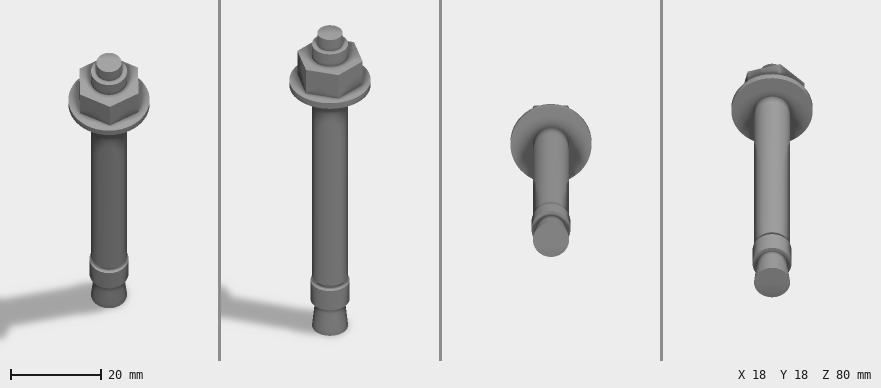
import cadquery as cq
import math

total_length = 80.0

cone_base_diameter = 8.0
cone_top_diameter = 6.6
cone_height = 7.2
sleeve_diameter = 8.6
sleeve_height = 5.3
neck_bottom_diameter = 6.4
neck_top_diameter = 5.8
neck_height = 1.2

shank_diameter = 8.0
tip_diameter = 5.6
tip_height = 3.0

washer_diameter = 18.0
washer_thickness = 1.5
nut_across_flats = 13.0
nut_height = 6.4
nut_top_to_shank_end = 3.4

sleeve_bottom = cone_height
sleeve_top = sleeve_bottom + sleeve_height
shank_bottom = sleeve_top + neck_height
shank_top = total_length - tip_height
nut_bottom = shank_top - nut_top_to_shank_end - nut_height
washer_bottom = nut_bottom - washer_thickness


def cylinder(diameter, bottom, top):
    return cq.Workplane("XY").workplane(offset=bottom).circle(diameter / 2).extrude(top - bottom)


def revolved_bolt():
    """Bolt body with its flared end, sleeve, neck, shank and tip."""
    outline = [
        (0, 0),
        (cone_base_diameter / 2, 0),
        (cone_top_diameter / 2, sleeve_bottom),
        (sleeve_diameter / 2, sleeve_bottom),
        (sleeve_diameter / 2, sleeve_top),
        (neck_bottom_diameter / 2, sleeve_top),
        (neck_top_diameter / 2, shank_bottom),
        (shank_diameter / 2, shank_bottom),
        (shank_diameter / 2, shank_top),
        (tip_diameter / 2, shank_top),
        (tip_diameter / 2, total_length),
        (0, total_length),
    ]
    return cq.Workplane("XZ").polyline(outline).close().revolve(360, (0, 0, 0), (0, 1, 0))


def hex_nut():
    """Hexagonal prism with two flats facing along X."""
    across_corners = nut_across_flats / math.cos(math.pi / 6)
    nut = cq.Workplane("XY").polygon(6, across_corners).extrude(nut_height)
    return nut.rotate((0, 0, 0), (0, 0, 1), 30).translate((0, 0, nut_bottom))


washer = cylinder(washer_diameter, washer_bottom, nut_bottom)
result = revolved_bolt().union(washer).union(hex_nut())